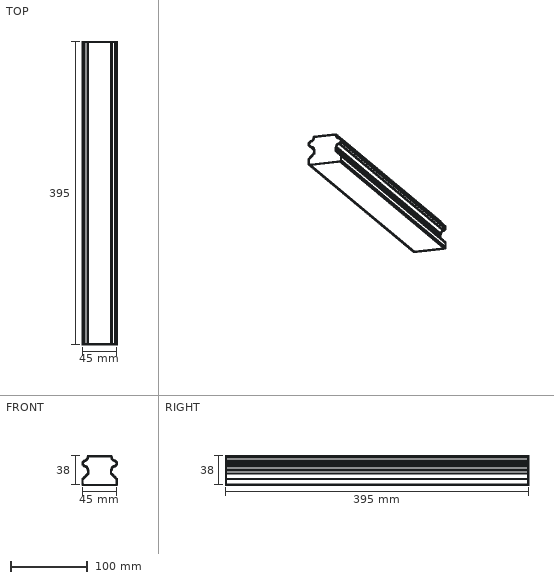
import cadquery as cq

length = 395.0
width = 45.0
height = 38.0

top_width = 30.0
nose_depth = 9.5
nose_flat = 2.5
nose_bevel = 2.55
edge_bevel_side = 0.8
edge_bevel_drop = 1.5
groove_radius = 4.0

web_width = 30.0
web_top_z = 19.5

foot_height = 8.0
foot_chamfer = 1.0

half_width = width / 2
half_top = top_width / 2
half_web = web_width / 2
nose_z = height - nose_depth
groove_edge_x = half_top + edge_bevel_side
nose_edge_x = half_width - nose_bevel
nose_edge_rise = nose_flat / 2 + nose_bevel
groove_edge_rise = nose_depth - edge_bevel_drop
shoulder_z = foot_height + half_width - half_web


def nose_point(x, rise):
    """A point on the right side, placed by its rise from the nose centre line."""
    return (x, nose_z + rise)


half_section = (
    cq.Workplane("XZ")
    .moveTo(0, 0)
    .lineTo(half_width - foot_chamfer, 0)
    .lineTo(half_width, foot_chamfer)
    .lineTo(half_width, foot_height)
    .lineTo(half_web, shoulder_z)
    .lineTo(half_web, web_top_z)
    .lineTo(*nose_point(groove_edge_x, -groove_edge_rise))
    .radiusArc(nose_point(nose_edge_x, -nose_edge_rise), groove_radius)
    .lineTo(*nose_point(half_width, -nose_flat / 2))
    .lineTo(*nose_point(half_width, nose_flat / 2))
    .lineTo(*nose_point(nose_edge_x, nose_edge_rise))
    .radiusArc(nose_point(groove_edge_x, groove_edge_rise), groove_radius)
    .lineTo(half_top, height)
    .lineTo(0, height)
    .close()
)

half_rail = half_section.extrude(length / 2, both=True)
result = half_rail.union(half_rail.mirror("YZ")).clean()